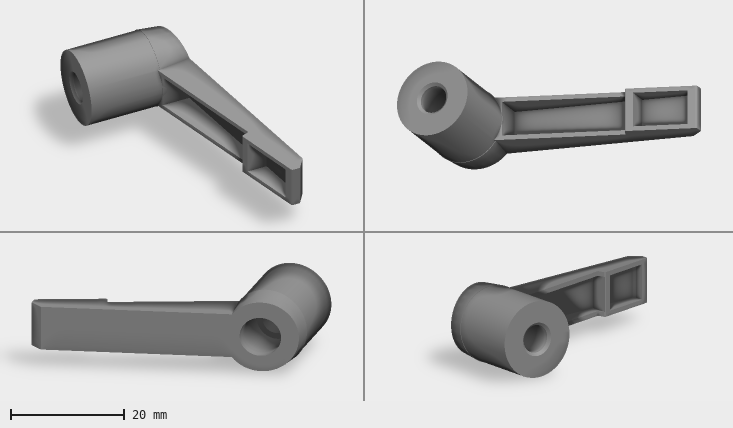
import cadquery as cq
import math

sleeve_diameter = 13.8
sleeve_height = 13.6
hub_diameter = 14.0
hub_taper = 6.0
hub_blank_height = 8.0

top_slope = math.tan(math.radians(12.7))
top_height = 18.45

bore_diameter = 5.0
bore_mouth_diameter = 6.0
bore_chamfer = (bore_mouth_diameter - bore_diameter) / 2
counterbore_diameter = 7.15
counterbore_floor = 10.0

lever_width = 8.1
wall = 0.85
roof = 1.3
nose_wall = 1.05
under_slope = math.tan(math.radians(20))
root_x = math.sqrt((hub_diameter / 2) ** 2 - (lever_width / 2) ** 2)
root_y = 13.15
notch_x = 27.45
lip_x = 27.95
lip_drop = 1.45
nose_x = 37.8
tip_x = 47 - hub_diameter / 2
nose_drop = 1.45
lip_radius = 0.3
tip_radius = 0.45

pocket_width = lever_width - 2 * wall
long_pocket_start = 6.9
long_pocket_end = 28.0
short_pocket_start = 29.38
short_pocket_end = 38.45


def top_y(x):
    """Height of the sloping top face at x."""
    return top_height + top_slope * x


nose_y = top_y(nose_x)
tip_y = nose_y - nose_drop
nose_slope = nose_drop / (tip_x - nose_x)


def centred_prism(points, width):
    """Extrude an XY outline symmetrically about Z = 0."""
    return cq.Workplane("XY").polyline(points).close().extrude(width / 2, both=True)


def cylinder(diameter, bottom, height, taper=0):
    """Cylinder or tapered cylinder rising along +Y from the given height."""
    plane = cq.Workplane("XZ", origin=(0, bottom, 0))
    return plane.circle(diameter / 2).extrude(-height, taper=taper)


def make_hub():
    blank = cylinder(hub_diameter, sleeve_height, hub_blank_height, hub_taper)
    reach = hub_diameter
    below_top = [(-reach, 0), (reach, 0), (reach, top_y(reach)), (-reach, top_y(-reach))]
    return blank.intersect(centred_prism(below_top, 2 * reach))


def make_lever():
    notch_y = root_y + under_slope * (notch_x - root_x)
    lip_y = notch_y - lip_drop
    outline = [
        (0, root_y),
        (root_x, root_y),
        (notch_x, notch_y),
        (lip_x, lip_y),
        (tip_x, lip_y + under_slope * (tip_x - lip_x)),
        (tip_x, tip_y),
        (nose_x, nose_y),
        (0, top_y(0)),
    ]
    lever = centred_prism(outline, lever_width)
    lever = lever.edges(cq.selectors.NearestToPointSelector((lip_x, lip_y, 0))).fillet(lip_radius)
    tip_bottom = (tip_x, lip_y + under_slope * (tip_x - lip_x), 0)
    return lever.edges(cq.selectors.NearestToPointSelector(tip_bottom)).fillet(tip_radius)


def make_pockets():
    """Pocket cutters whose ceilings run parallel to the top and nose faces."""
    top_gap = roof * math.hypot(1, top_slope)
    nose_gap = nose_wall * math.hypot(1, nose_slope)
    bend_x = nose_x - (nose_gap - top_gap) / (top_slope + nose_slope)
    long_pocket = [
        (long_pocket_start, 0),
        (long_pocket_end, 0),
        (long_pocket_end, top_y(long_pocket_end) - top_gap),
        (long_pocket_start, top_y(long_pocket_start) - top_gap),
    ]
    short_pocket = [
        (short_pocket_start, 0),
        (short_pocket_end, 0),
        (short_pocket_end, nose_y - nose_slope * (short_pocket_end - nose_x) - nose_gap),
        (bend_x, top_y(bend_x) - top_gap),
        (short_pocket_start, top_y(short_pocket_start) - top_gap),
    ]
    return centred_prism(long_pocket, pocket_width).union(centred_prism(short_pocket, pocket_width))


def make_bore():
    bore = cylinder(bore_diameter, 0, sleeve_height)
    mouth = cylinder(bore_mouth_diameter, 0, bore_chamfer, taper=45)
    counterbore = cylinder(counterbore_diameter, counterbore_floor, top_height)
    return bore.union(mouth).union(counterbore)


sleeve = cylinder(sleeve_diameter, 0, sleeve_height)
lever = make_lever().cut(make_pockets())
result = sleeve.union(make_hub()).union(lever).cut(make_bore())